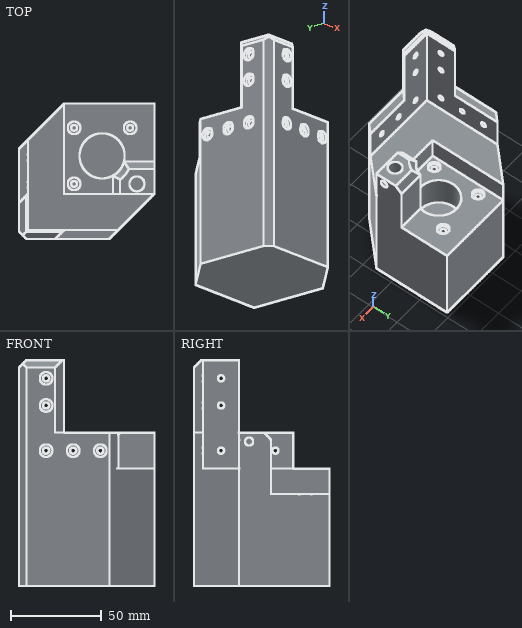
import cadquery as cq

side = 75.0
base_height = 65.0
side_cut = 25.0
corner_chamfer = 4.1

recess_start = 25.0
floor_z = 51.0

wall_thickness = 5.0
wall_top = 85.0
wall_length = side - side_cut
tower_top = 125.0
tower_length = recess_start - wall_thickness
tower_chamfer = 4.0

screw_diameter = 3.2
head_diameter = 7.0
wall_head_depth = 2.0
hole_pitch = 15.0
wall_hole_count = 3
wall_hole_z = 75.0
tower_hole_heights = (100.0, 115.0)

bore_center = 46.0
bore_diameter = 25.0
bore_depth = 20.0
floor_screw_spacing = 31.0
floor_head_depth = 2.0
floor_screw_depth = 10.0

block_x = 52.0
block_y_end = 42.8
block_chamfer = 4.0
socket_diameter = 8.2
socket_depth = 20.0
socket_x = 65.2
socket_y = 30.5
cross_hole_diameter = 4.5
cross_hole_z = 80.0


def box(x0, y0, z0, x1, y1, z1):
    """Box between two opposite corners."""
    return cq.Workplane("XY").box(x1 - x0, y1 - y0, z1 - z0, centered=False).translate((x0, y0, z0))


def make_base():
    outline = [
        (corner_chamfer, 0),
        (side - side_cut, 0),
        (side, side_cut),
        (side, side),
        (side_cut, side),
        (0, side - side_cut),
        (0, corner_chamfer),
    ]
    column = cq.Workplane("XY").polyline(outline).close().extrude(base_height)
    return column.cut(box(recess_start, recess_start, floor_z, side, side, base_height))


def make_wall(length, z0, z1):
    """L-shaped wall whose two ends are cut at 45 degrees."""
    inner_end = length + wall_thickness
    outline = [
        (corner_chamfer, 0),
        (length, 0),
        (inner_end, wall_thickness),
        (wall_thickness, wall_thickness),
        (wall_thickness, inner_end),
        (0, length),
        (0, corner_chamfer),
    ]
    return cq.Workplane("XY").workplane(offset=z0).polyline(outline).close().extrude(z1 - z0)


def make_tower():
    tower = make_wall(tower_length, wall_top, tower_top)
    bevel_base = tower_top - tower_chamfer
    envelope = (
        cq.Workplane("XY")
        .workplane(offset=bevel_base)
        .rect(2 * side, 2 * side)
        .extrude(tower_chamfer, taper=45)
        .translate((side, side, 0))
    )
    return tower.intersect(envelope.union(box(0, 0, 0, side, side, bevel_base)))


def make_block():
    block = box(block_x, recess_start, floor_z, side, block_y_end, wall_top)
    clearance = (
        cq.Workplane("XY").center(bore_center, bore_center).circle(bore_diameter / 2).extrude(wall_top)
    )
    block = block.cut(clearance)
    top_edges = block.faces(">Z").edges()
    bevelled = top_edges.filter(
        lambda edge: edge.Center().x < side - block_chamfer
        and edge.Center().y > recess_start + block_chamfer
    )
    block = bevelled.chamfer(block_chamfer)
    socket = (
        cq.Workplane("XY")
        .workplane(offset=wall_top)
        .center(socket_x, socket_y)
        .circle(socket_diameter / 2)
        .extrude(-socket_depth)
    )
    cross_hole = (
        cq.Workplane("YZ")
        .workplane(offset=socket_x)
        .center(socket_y, cross_hole_z)
        .circle(cross_hole_diameter / 2)
        .extrude(side - socket_x)
    )
    return block.cut(socket).cut(cross_hole)


def screw_hole(start, direction, head_depth, depth):
    """Counterbored hole going from start along direction."""
    start = cq.Vector(*start)
    direction = cq.Vector(*direction)
    shank = cq.Solid.makeCylinder(screw_diameter / 2, depth, start, direction)
    head = cq.Solid.makeCylinder(head_diameter / 2, head_depth, start, direction)
    return cq.Workplane(shank.fuse(head))


result = (
    make_base()
    .union(make_wall(wall_length, base_height, wall_top))
    .union(make_tower())
    .union(make_block())
)

wall_holes = [(hole_pitch * i, wall_hole_z) for i in range(1, wall_hole_count + 1)]
wall_holes += [(hole_pitch, z) for z in tower_hole_heights]
for along, z in wall_holes:
    result = result.cut(screw_hole((along, 0, z), (0, 1, 0), wall_head_depth, wall_thickness))
    result = result.cut(screw_hole((0, along, z), (1, 0, 0), wall_head_depth, wall_thickness))

bore = (
    cq.Workplane("XY")
    .workplane(offset=floor_z)
    .center(bore_center, bore_center)
    .circle(bore_diameter / 2)
    .extrude(-bore_depth)
)
result = result.cut(bore)
near = bore_center - floor_screw_spacing / 2
far = bore_center + floor_screw_spacing / 2
for x, y in [(near, near), (near, far), (far, far)]:
    result = result.cut(screw_hole((x, y, floor_z), (0, 0, -1), floor_head_depth, floor_screw_depth))